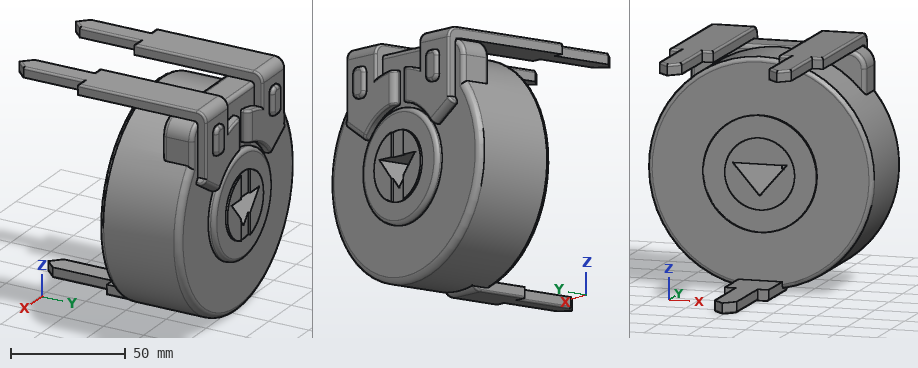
import cadquery as cq
import math

housing_diameter = 103.0
housing_depth = 40.0
housing_front_fillet = 2.0
housing_back_fillet = 3.0

block_width = 80.0
block_depth = 15.0
block_top = 52.0
block_bottom = 21.9
block_corner_radius = 8.0
block_edge_fillet = 2.0

rotor_radius = 26.0
rotor_front_stand = 1.0
rotor_back_stand = 3.1
rotor_back_fillet = 2.0
hub_radius = 16.0
hub_slot_width = 8.0
triangle_half_width = 12.3
triangle_top = 4.4
triangle_tip = -9.6

strip_width = 20.0
strip_thickness = 5.0
pin_width = 10.1
bend_radius = 4.9
skin_fillet = 1.0

terminal_offset = 25.1
terminal_tip = -55.0
terminal_shoulder = -20.0
leg_thickness = 4.0
contact_outer_radius = 43.5
contact_inner_radius = 28.0
contact_end_gap = 3.0
contact_end_angle = 32.0
contact_end_rounding = 3.0

wiper_bottom = -52.5
wiper_tip = -54.5
wiper_shoulder = -19.6
wiper_slot_depth = 10.0

rivet_width = 8.0
rivet_height = 14.1
rivet_corner_radius = 3.0
rivet_z = 40.6
rivet_head_height = 2.0
rivet_head_fillet = 1.6

housing_radius = housing_diameter / 2
leg_back = housing_depth + leg_thickness
rotor_back = housing_depth + rotor_back_stand
terminal_top = block_top + strip_thickness


def facing_front(y_back):
    """XZ workplane at y_back whose extrusions run toward the front (-Y)."""
    return cq.Workplane("XZ", origin=(0, y_back, 0))


def on_arc(radius, x):
    """Point at the given x on the upper half of a circle about the rotation axis."""
    return (x, math.sqrt(radius**2 - x**2))


def at_angle(radius, degrees):
    """Point on a circle about the rotation axis."""
    angle = math.radians(degrees)
    return (radius * math.cos(angle), radius * math.sin(angle))


def midway(radius, start, end):
    """Point halfway along the arc between two points of a circle about the rotation axis."""
    start_angle = math.degrees(math.atan2(start[1], start[0]))
    end_angle = math.degrees(math.atan2(end[1], end[0]))
    return at_angle(radius, (start_angle + end_angle) / 2)


def pin_strip(x_center, y_back, y_shoulder, y_tip, z_bottom):
    """Flat strip that narrows at a shoulder to a pin with a 45 degree point."""
    half_strip = strip_width / 2
    half_pin = pin_width / 2
    y_point = y_tip + half_pin
    return (
        cq.Workplane("XY", origin=(x_center, 0, z_bottom))
        .moveTo(-half_strip, y_back)
        .lineTo(-half_strip, y_shoulder)
        .lineTo(-half_pin, y_shoulder)
        .lineTo(-half_pin, y_point)
        .lineTo(0, y_tip)
        .lineTo(half_pin, y_point)
        .lineTo(half_pin, y_shoulder)
        .lineTo(half_strip, y_shoulder)
        .lineTo(half_strip, y_back)
        .close()
        .extrude(strip_thickness)
    )


def make_rivet(side):
    """Rivet through a terminal leg, with a rounded head behind it."""
    return (
        facing_front(leg_back + rivet_head_height)
        .center(side * terminal_offset, rivet_z)
        .rect(rivet_width, rivet_height)
        .extrude(rivet_head_height + leg_thickness)
        .edges("|Y")
        .fillet(rivet_corner_radius)
        .faces(">Y")
        .edges()
        .fillet(rivet_head_fillet)
    )


def make_contact_leg():
    """Left leg behind the housing, ending in a ring segment about the rotation axis."""
    leg_left = -terminal_offset - strip_width / 2
    leg_right = -terminal_offset + strip_width / 2
    end_angle = 180 - contact_end_angle
    left_join = on_arc(contact_outer_radius, leg_left)
    right_join = on_arc(contact_outer_radius, leg_right)
    low_outer = at_angle(contact_outer_radius, end_angle)
    low_inner = at_angle(contact_inner_radius, end_angle)
    high_outer = on_arc(contact_outer_radius, -contact_end_gap)
    high_inner = on_arc(contact_inner_radius, -contact_end_gap)
    leg = (
        facing_front(leg_back)
        .moveTo(leg_left, terminal_top)
        .lineTo(*left_join)
        .threePointArc(midway(contact_outer_radius, left_join, low_outer), low_outer)
        .lineTo(*low_inner)
        .threePointArc(midway(contact_inner_radius, low_inner, high_inner), high_inner)
        .lineTo(*high_outer)
        .threePointArc(midway(contact_outer_radius, high_outer, right_join), right_join)
        .lineTo(leg_right, terminal_top)
        .close()
        .extrude(leg_thickness)
    )
    for outer, inner in ((low_outer, low_inner), (high_outer, high_inner)):
        middle = ((outer[0] + inner[0]) / 2, leg_back, (outer[1] + inner[1]) / 2)
        leg = leg.edges(cq.selectors.NearestToPointSelector(middle)).fillet(contact_end_rounding)
    return leg


def make_terminal(side):
    """Outer terminal: pin strip on top, bent down into the contact leg."""
    strip = pin_strip(-terminal_offset, leg_back, terminal_shoulder, terminal_tip, block_top)
    terminal = strip.union(make_contact_leg())
    terminal = terminal.edges("|X and >Y and >Z").fillet(bend_radius)
    inner_corner = cq.selectors.NearestToPointSelector((-terminal_offset, housing_depth, block_top))
    terminal = terminal.edges(inner_corner).fillet(block_edge_fillet)
    terminal = terminal.faces(">Z or >Y").edges().fillet(skin_fillet)
    if side > 0:
        terminal = terminal.mirror("YZ")
    return terminal.cut(make_rivet(side))


def make_wiper_terminal():
    """Middle terminal: pin strip with a rounded inner end, set in the housing slot."""
    return (
        pin_strip(0, wiper_slot_depth, wiper_shoulder, wiper_tip, wiper_bottom)
        .edges("|X and >Y and <Z")
        .fillet(bend_radius)
        .faces("<Z")
        .edges("not |X")
        .fillet(skin_fillet)
    )


def make_housing():
    """Round housing with a mounting block, a rotor bore and a slot for the middle terminal."""
    drum = (
        facing_front(housing_depth)
        .circle(housing_radius)
        .extrude(housing_depth)
        .faces("<Y")
        .edges()
        .fillet(housing_front_fillet)
        .faces(">Y")
        .edges()
        .fillet(housing_back_fillet)
    )
    block_height = block_top - block_bottom
    block = (
        facing_front(housing_depth)
        .center(0, block_bottom + block_height / 2)
        .rect(block_width, block_height)
        .extrude(block_depth)
        .edges("|Y and >Z")
        .fillet(block_corner_radius)
        .faces("<Y or >Y")
        .edges()
        .fillet(block_edge_fillet)
    )
    bore = facing_front(housing_depth).circle(rotor_radius).extrude(housing_depth)
    slot = (
        cq.Workplane("XY", origin=(0, 0, wiper_bottom))
        .box(strip_width, wiper_slot_depth, strip_thickness, centered=(True, False, False))
    )
    return drum.union(block).cut(bore).cut(slot)


def make_rotor():
    """Ring that turns in the housing bore and stands out on both sides."""
    ring_length = rotor_back + rotor_front_stand
    hub_hole = facing_front(rotor_back).circle(hub_radius).extrude(ring_length)
    return (
        facing_front(rotor_back)
        .circle(rotor_radius)
        .extrude(ring_length)
        .faces(">Y")
        .edges()
        .fillet(rotor_back_fillet)
        .cut(hub_hole)
    )


def make_hub():
    """Hub in the ring with a triangular through hole and a slot across its back face."""
    hub_length = leg_back + rotor_front_stand
    hub = facing_front(leg_back).circle(hub_radius).extrude(hub_length)
    triangle = (
        facing_front(leg_back)
        .moveTo(-triangle_half_width, triangle_top)
        .lineTo(triangle_half_width, triangle_top)
        .lineTo(0, triangle_tip)
        .close()
        .extrude(hub_length)
    )
    slot = facing_front(leg_back).rect(hub_slot_width, 2 * hub_radius).extrude(leg_back - rotor_back)
    return hub.cut(triangle).cut(slot)


housing = make_housing()
rotor = make_rotor()
hub = make_hub()
wiper_terminal = make_wiper_terminal()
terminals = [make_terminal(side) for side in (-1, 1)]
rivets = [make_rivet(side) for side in (-1, 1)]

bodies = [housing, rotor, hub, wiper_terminal, *terminals, *rivets]
result = cq.Compound.makeCompound([body.solids().val() for body in bodies])